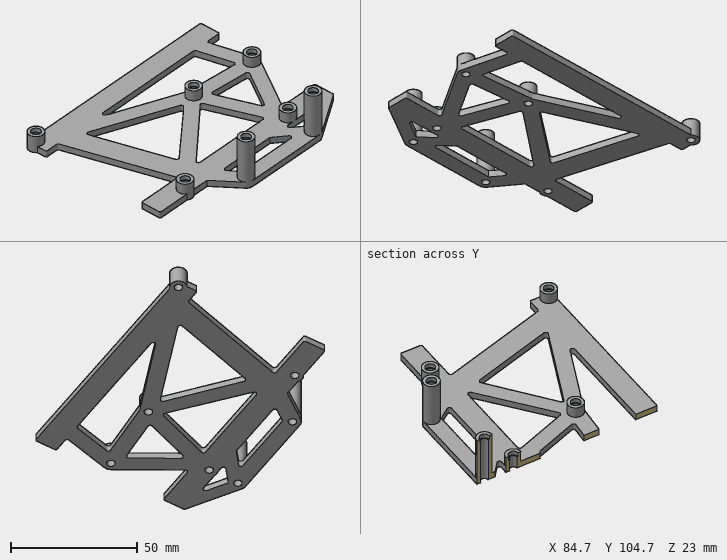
import cadquery as cq
import math

overall_length = 104.7
plate_thickness = 3.0
short_post_top = 8.0
tall_post_top = 23.0

post_diameter = 7.0
post_radius = post_diameter / 2
bore_diameter = 3.4
counterbore_diameter = 4.2
counterbore_depth = 2.0

rail_length = 103.5
rail_width = 10.0
left_rail_outer = 0.0
left_rail_inner = left_rail_outer + rail_width
right_rail_inner = 60.2
right_rail_outer = right_rail_inner + rail_width
left_rail_middle = left_rail_outer + rail_width / 2
right_rail_middle = right_rail_inner + rail_width / 2

strut_width = post_diameter
base_strut_width = 10.5

apex_strut_lower_offset = 2.9
hub_base_offset_at_hub = 2.8

inside_radius = 1.0
rail_end_radius = 0.7
SHARP = 0

corner_post = (2.5, rail_length + post_radius - overall_length)
apex_post = (32.0, 97.8)
hub_post = (29.3, 66.1)
upper_rail_post = (66.8, 80.0)
lower_rail_post = (67.3, 18.0)
upper_side_post = (80.2, 79.9)
lower_side_post = (upper_side_post[0], 39.9)
short_posts = [corner_post, apex_post, hub_post, upper_rail_post, lower_rail_post]
tall_posts = [upper_side_post, lower_side_post]

side_strut_outer = upper_side_post[0] + strut_width / 2
side_strut_inner = upper_side_post[0] - strut_width / 2

apex_strut_left_end = (left_rail_middle, 90.9)
apex_strut_right_end = (right_rail_middle, 76.9)
base_strut_left_end = (left_rail_middle, 10.8)
base_strut_right_end = (right_rail_middle, 28.6)

side_opening_top = 93.0
side_opening_tip = (76.9, 81.8)
side_opening_bottom = 73.7
side_slot_rail_corner = 65.5
side_slot_top = 73.4


def offset_point(start, end, point, offset):
    """Point moved by offset to the left of the direction from start to end."""
    dx = end[0] - start[0]
    dy = end[1] - start[1]
    length = math.hypot(dx, dy)
    return point[0] - offset * dy / length, point[1] + offset * dx / length


def strut_edge(start, end, start_offset, end_offset):
    """Edge line of a strut, at the given offsets to the left of its two ends."""
    first = offset_point(start, end, start, start_offset)
    second = offset_point(start, end, end, end_offset)
    return first, (second[0] - first[0], second[1] - first[1])


def strut_edges(start, end, width=strut_width):
    """Left and right edge lines of a strut running from start to end."""
    half = width / 2
    return strut_edge(start, end, half, half), strut_edge(start, end, -half, -half)


def vertical_line(x):
    return (x, 0), (0, 1)


def meet(first, second):
    """Crossing point of two lines, each given as (point, direction)."""
    (px, py), (ux, uy) = first
    (qx, qy), (vx, vy) = second
    along = ((qx - px) * vy - (qy - py) * vx) / (ux * vy - uy * vx)
    return px + along * ux, py + along * uy


def rounded_prism(corners):
    """Prism of plate thickness from (point, corner radius) pairs."""
    points = [point for point, _ in corners]
    prism = cq.Workplane("XY").polyline(points).close().extrude(plate_thickness)
    for (x, y), radius in corners:
        if radius > SHARP:
            nearest = cq.selectors.NearestToPointSelector((x, y, plate_thickness / 2))
            prism = prism.edges("|Z").edges(nearest).fillet(radius)
    return prism


def opening(lines):
    """Opening bounded by successive lines, with every corner rounded."""
    following = lines[1:] + lines[:1]
    return rounded_prism([(meet(a, b), inside_radius) for a, b in zip(lines, following)])


left_rail_line = vertical_line(left_rail_inner)
right_rail_line = vertical_line(right_rail_inner)
right_rail_outer_line = vertical_line(right_rail_outer)
side_strut_outer_line = vertical_line(side_strut_outer)
side_strut_inner_line = vertical_line(side_strut_inner)

apex_left_above, apex_left_below = strut_edges(apex_strut_left_end, apex_post)
apex_right_above, _ = strut_edges(apex_post, apex_strut_right_end)
apex_right_below = strut_edge(
    apex_post, apex_strut_right_end, -apex_strut_lower_offset, -apex_strut_lower_offset
)
upright_left, upright_right = strut_edges(hub_post, apex_post)
hub_rail_above, hub_rail_below = strut_edges(hub_post, upper_rail_post)
hub_corner_left, hub_corner_right = strut_edges(corner_post, hub_post)
hub_base_above = strut_edge(hub_post, lower_rail_post, hub_base_offset_at_hub, strut_width / 2)
_, hub_base_below = strut_edges(hub_post, lower_rail_post)
base_above, base_below = strut_edges(base_strut_left_end, base_strut_right_end, base_strut_width)
side_low_above, side_low_below = strut_edges(base_strut_right_end, lower_side_post)


def tangent_to_upper_side_post(start):
    """Line from start that touches the upper side post on its outer side."""
    dx = upper_side_post[0] - start[0]
    dy = upper_side_post[1] - start[1]
    angle = math.atan2(dy, dx) + math.asin(post_radius / math.hypot(dx, dy))
    return start, (math.cos(angle), math.sin(angle))


def plate_outline():
    right_rail_top_corner = (right_rail_outer, rail_length)
    slanted_side = tangent_to_upper_side_post(right_rail_top_corner)
    return rounded_prism([
        ((left_rail_outer, 0), rail_end_radius),
        ((left_rail_inner, 0), rail_end_radius),
        (meet(left_rail_line, base_below), inside_radius),
        (meet(base_below, right_rail_line), inside_radius),
        ((right_rail_inner, 0), rail_end_radius),
        ((right_rail_outer, 0), rail_end_radius),
        (meet(right_rail_outer_line, side_low_below), SHARP),
        (meet(side_low_below, side_strut_outer_line), post_radius),
        (meet(side_strut_outer_line, slanted_side), post_radius),
        (right_rail_top_corner, rail_end_radius),
        ((right_rail_inner, rail_length), rail_end_radius),
        (meet(right_rail_line, apex_right_above), inside_radius),
        (meet(apex_right_above, apex_left_above), post_radius),
        (meet(apex_left_above, left_rail_line), inside_radius),
        ((left_rail_inner, rail_length), rail_end_radius),
        ((left_rail_outer, rail_length), rail_end_radius),
    ])


def plate_openings():
    between_rails = [
        opening([left_rail_line, apex_left_below, upright_left, hub_corner_left]),
        opening([upright_right, apex_right_below, hub_rail_above]),
        opening([hub_rail_below, right_rail_line, hub_base_above]),
        opening([hub_corner_right, hub_base_below, base_above]),
    ]
    side_triangle = rounded_prism([
        ((right_rail_outer, side_opening_bottom), inside_radius),
        (side_opening_tip, SHARP),
        ((right_rail_outer, side_opening_top), inside_radius),
    ])
    side_slot = rounded_prism([
        (meet(right_rail_outer_line, side_low_above), inside_radius),
        (meet(side_low_above, side_strut_inner_line), SHARP),
        ((side_strut_inner, side_slot_top), inside_radius),
        ((right_rail_outer, side_slot_rail_corner), SHARP),
    ])
    return between_rails + [side_triangle, side_slot]


def cylinders(centres, diameter, bottom, top):
    return (
        cq.Workplane("XY", origin=(0, 0, bottom))
        .pushPoints(centres)
        .circle(diameter / 2)
        .extrude(top - bottom)
    )


result = plate_outline()
for cutter in plate_openings():
    result = result.cut(cutter)

post_groups = [(short_posts, short_post_top), (tall_posts, tall_post_top)]
for centres, top in post_groups:
    result = result.union(cylinders(centres, post_diameter, 0, top))
for centres, top in post_groups:
    result = result.cut(cylinders(centres, bore_diameter, 0, top))
    result = result.cut(cylinders(centres, counterbore_diameter, top - counterbore_depth, top))